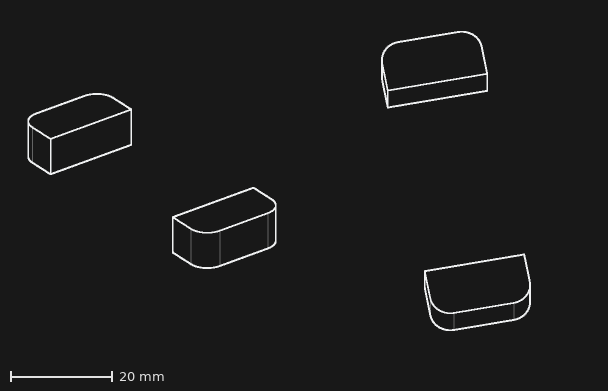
import cadquery as cq

overall_length = 60.0
block_depth = 20.0
block_height = 8.0
block_width = 10.0
corner_radius = 4.0

block_center_x = (overall_length - block_width) / 2


def make_end_block(side):
    """End block on the -X (side = -1) or +X (side = 1) end, with its outer corners rounded."""
    outer_face = ">X" if side > 0 else "<X"
    return (
        cq.Workplane("XY")
        .box(block_width, block_depth, block_height)
        .faces(outer_face)
        .edges("|Z")
        .fillet(corner_radius)
        .translate((side * block_center_x, 0, 0))
    )


end_blocks = [make_end_block(side) for side in (-1, 1)]

result = cq.Compound.makeCompound([block.val() for block in end_blocks])